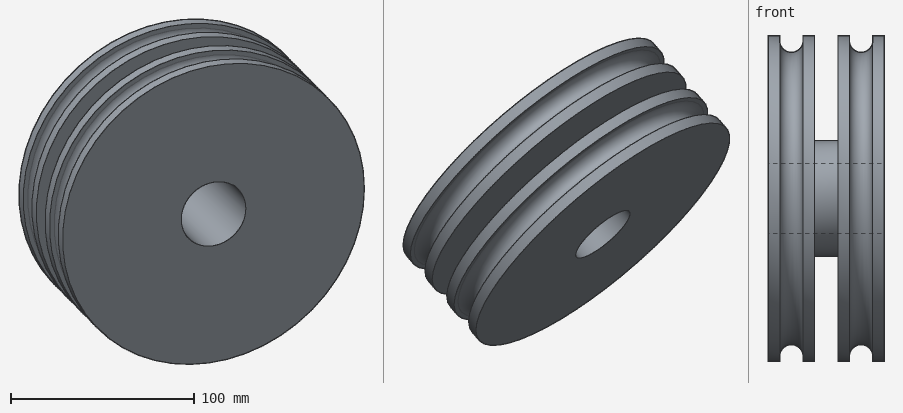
import cadquery as cq

outer_diameter = 177.8
hub_diameter = 63.5
bore_diameter = 38.0
total_width = 63.5
disc_width = 25.5
groove_width = 12.6
groove_depth = 9.0

outer_radius = outer_diameter / 2
groove_radius = groove_width / 2
groove_floor_radius = outer_radius - groove_depth
groove_arc_center_radius = groove_floor_radius + groove_radius
disc_offset = (total_width - disc_width) / 2


def grooved_disc(center_x):
    """Disc with a straight-walled, round-bottomed rope groove in its rim."""
    left = center_x - disc_width / 2
    right = center_x + disc_width / 2
    groove_left = center_x - groove_radius
    groove_right = center_x + groove_radius
    profile = (
        cq.Workplane("XY")
        .moveTo(left, 0)
        .lineTo(left, outer_radius)
        .lineTo(groove_left, outer_radius)
        .lineTo(groove_left, groove_arc_center_radius)
        .threePointArc(
            (center_x, groove_floor_radius),
            (groove_right, groove_arc_center_radius),
        )
        .lineTo(groove_right, outer_radius)
        .lineTo(right, outer_radius)
        .lineTo(right, 0)
        .close()
    )
    return profile.revolve(360, (0, 0, 0), (1, 0, 0))


def centered_cylinder(diameter):
    """Cylinder along X, spanning the full pulley width."""
    return cq.Workplane("YZ").circle(diameter / 2).extrude(total_width / 2, both=True)


pulley = centered_cylinder(hub_diameter)
for disc_center in (-disc_offset, disc_offset):
    pulley = pulley.union(grooved_disc(disc_center))

result = pulley.cut(centered_cylinder(bore_diameter))